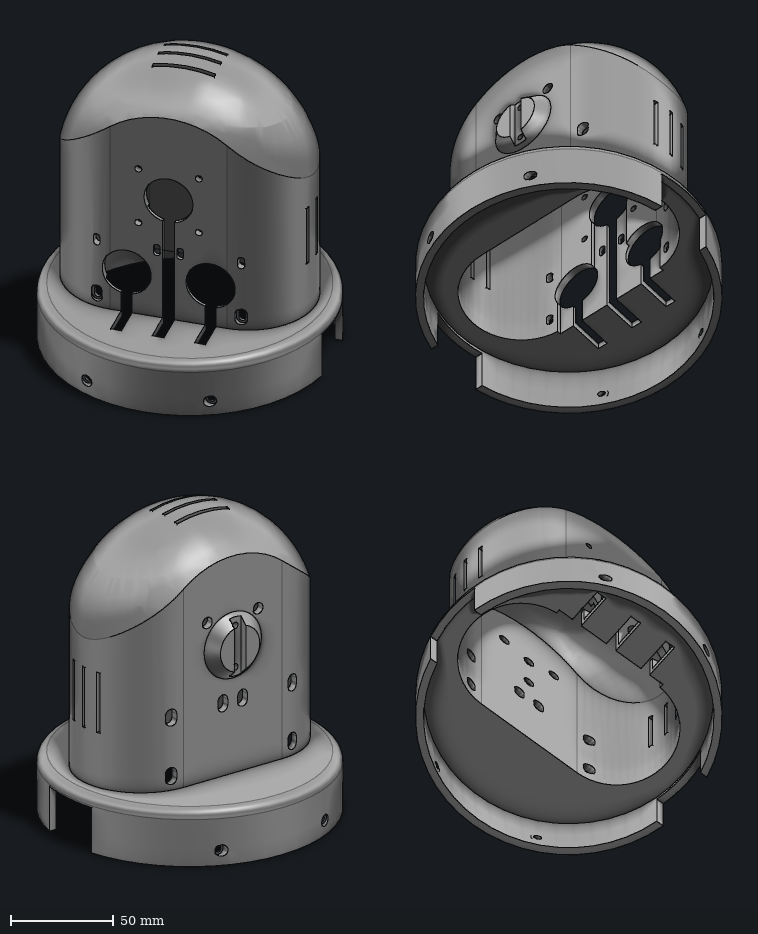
import cadquery as cq
import math

BASE_RADIUS = 75.0
BASE_HEIGHT = 30.0
RIM_FILLET = 5.0
WALL = 4.0
SIDE_GAP_WIDTH = 34.0
SIDE_GAP_HEIGHT = 24.0

TOWER_RADIUS = 35.0
FLAT_HALF_LENGTH = 30.0
FRONT_Y = -TOWER_RADIUS
BACK_Y = TOWER_RADIUS

DOME_TOP = 161.42
DOME_RADIUS = 66.0
DOME_ARC_RADIUS = 46.0
DOME_AXIS_Z = DOME_TOP - DOME_RADIUS

SCREW_D = 3.4
HEAD_D = 5.9
HEAD_DEPTH = 2.0
SKIRT_HEAD_DEPTH = 2.8
SLOT_TRAVEL = 3.0
MOTOR_PITCH = 31.0
MOTOR_BORE_D = 25.0
UPPER_MOTOR_Z = 98.0
LOWER_MOTOR_X = 21.5
LOWER_MOTOR_Z = 53.0
UPPER_SLIT_WIDTH = 6.0
LOWER_SLIT_WIDTH = 5.5
CHANNEL_WIDTH = 22.0
CHANNEL_DEPTH = 2.0
PLATE_SLIT_END_Y = -52.2

BOSS_HEIGHT = 6.0
BOSS_BASE_RADIUS = 17.5
BOSS_TOP_RADIUS = 12.0
BOSS_GROOVE_WIDTH = 7.0
BOSS_GROOVE_DEPTH = 4.0
BOSS_SCREW_PITCH = 22.0

SKIRT_SCREW_X = 31.6
SKIRT_SCREW_Z = 8.0

VENT_LENGTH = 32.0
VENT_WIDTH = 2.0
VENT_PITCH = 10.0
SIDE_VENT_Z = 75.0

CUT_MARGIN = 1.0


def box(x_min, x_max, y_min, y_max, z_min, z_max):
    """Box between two opposite corners."""
    size = (x_max - x_min, y_max - y_min, z_max - z_min)
    return cq.Workplane("XY").box(*size, centered=False).translate((x_min, y_min, z_min))


def hole_along_y(x, z, diameter, y_min, y_max):
    """Round cutter running parallel to Y."""
    circle = cq.Workplane("XZ", origin=(x, y_max, z)).circle(diameter / 2)
    return circle.extrude(y_max - y_min)


def slot_along_y(x, z, width, y_min, y_max):
    """Upright rounded slot running parallel to Y, for an adjustable screw."""
    slot = cq.Workplane("XZ", origin=(x, y_max, z)).slot2D(width + SLOT_TRAVEL, width, 90)
    return slot.extrude(y_max - y_min)


def dome_body(inset):
    """Solid of revolution that rounds off the tower, shrunk by inset."""
    arc_radius = DOME_ARC_RADIUS - inset
    arc_centre = DOME_RADIUS - DOME_ARC_RADIUS
    half_width = TOWER_RADIUS
    edge = arc_centre + math.sqrt(arc_radius**2 - half_width**2)
    profile = (
        cq.Workplane("XY")
        .moveTo(0, -half_width)
        .lineTo(edge, -half_width)
        .threePointArc((arc_centre + arc_radius, 0), (edge, half_width))
        .lineTo(0, half_width)
        .close()
    )
    return profile.revolve(360, (0, 0, 0), (0, 1, 0)).translate((0, 0, DOME_AXIS_Z))


def tower_body(inset, bottom_z):
    """Stadium column with a domed top, shrunk by inset."""
    width = 2 * (TOWER_RADIUS - inset)
    length = 2 * FLAT_HALF_LENGTH + width
    lower = cq.Workplane("XY", origin=(0, 0, bottom_z)).slot2D(length, width)
    lower = lower.extrude(DOME_AXIS_Z - bottom_z)
    upper = cq.Workplane("XY", origin=(0, 0, DOME_AXIS_Z)).slot2D(length, width)
    upper = upper.extrude(DOME_RADIUS).intersect(dome_body(inset))
    return lower.union(upper)


def base_body():
    """Round base with a filleted top rim."""
    base = cq.Workplane("XY").circle(BASE_RADIUS).extrude(BASE_HEIGHT)
    return base.faces(">Z").edges().fillet(RIM_FILLET)


def base_cavity():
    """Space inside the skirt and the two gaps in its sides."""
    cavity = cq.Workplane("XY").circle(BASE_RADIUS - WALL).extrude(BASE_HEIGHT - WALL)
    reach = BASE_RADIUS + CUT_MARGIN
    half_gap = SIDE_GAP_WIDTH / 2
    return cavity.union(box(-reach, reach, -half_gap, half_gap, 0, SIDE_GAP_HEIGHT))


def back_boss():
    """Truncated cone on the back wall with a vertical groove across its end."""
    boss = (
        cq.Workplane("XZ", origin=(0, BACK_Y, UPPER_MOTOR_Z))
        .circle(BOSS_BASE_RADIUS)
        .workplane(offset=-BOSS_HEIGHT)
        .circle(BOSS_TOP_RADIUS)
        .loft()
    )
    half_groove = BOSS_GROOVE_WIDTH / 2
    end_y = BACK_Y + BOSS_HEIGHT
    groove = box(
        -half_groove,
        half_groove,
        end_y - BOSS_GROOVE_DEPTH,
        end_y + CUT_MARGIN,
        UPPER_MOTOR_Z - BOSS_BASE_RADIUS,
        UPPER_MOTOR_Z + BOSS_BASE_RADIUS,
    )
    return boss.cut(groove)


def motor_opening(x, z, slit_width):
    """Round opening in the front wall with a slit down to and along the base plate.

    A wider channel thins the wall from inside, below the middle of the opening.
    """
    y_min = FRONT_Y - CUT_MARGIN
    y_max = FRONT_Y + WALL
    half_channel = CHANNEL_WIDTH / 2
    bore = hole_along_y(x, z, MOTOR_BORE_D, y_min, 0)
    left = x - slit_width / 2
    right = x + slit_width / 2
    plate_bottom = BASE_HEIGHT - WALL
    wall_slit = box(left, right, y_min, y_max, plate_bottom, z)
    plate_slit = box(left, right, PLATE_SLIT_END_Y, y_max, plate_bottom, BASE_HEIGHT)
    channel_left = x - half_channel
    channel_right = x + half_channel
    channel_floor = y_max - CHANNEL_DEPTH
    channel = box(channel_left, channel_right, channel_floor, y_max + CUT_MARGIN, plate_bottom, z)
    return bore.union(wall_slit).union(plate_slit).union(channel)


def upper_motor_holes():
    """Four screw holes in the front wall; the top pair has driver holes in the back."""
    half = MOTOR_PITCH / 2
    cutters = []
    for x in (-half, half):
        for z in (UPPER_MOTOR_Z - half, UPPER_MOTOR_Z + half):
            cutters.append(hole_along_y(x, z, SCREW_D, FRONT_Y - CUT_MARGIN, 0))
        cutters.append(hole_along_y(x, UPPER_MOTOR_Z + half, HEAD_D, 0, BACK_Y + CUT_MARGIN))
    return cutters


def lower_motor_slots():
    """Adjustable screw slots in the front wall with wider driver slots in the back."""
    half = MOTOR_PITCH / 2
    inner_x = LOWER_MOTOR_X - half
    outer_x = LOWER_MOTOR_X + half
    upper_z = LOWER_MOTOR_Z + half
    lower_z = LOWER_MOTOR_Z - half
    outside_y = FRONT_Y - CUT_MARGIN
    cutters = []
    for side in (-1, 1):
        for x, z in ((inner_x, upper_z), (outer_x, upper_z), (outer_x, lower_z)):
            cutters.append(slot_along_y(side * x, z, SCREW_D, outside_y, 0))
            cutters.append(slot_along_y(side * x, z, HEAD_D, 0, BACK_Y + CUT_MARGIN))
        wall_y = -math.sqrt(TOWER_RADIUS**2 - (outer_x - FLAT_HALF_LENGTH) ** 2)
        cutters.append(slot_along_y(side * outer_x, lower_z, HEAD_D, outside_y, wall_y + HEAD_DEPTH))
    return cutters


def boss_screw_holes():
    """Two screw holes through the boss, recessed from inside the tower."""
    inner_y = BACK_Y - WALL
    cutters = []
    for offset in (-BOSS_SCREW_PITCH / 2, BOSS_SCREW_PITCH / 2):
        z = UPPER_MOTOR_Z + offset
        cutters.append(hole_along_y(0, z, SCREW_D, 0, BACK_Y + BOSS_HEIGHT))
        cutters.append(hole_along_y(0, z, HEAD_D, 0, inner_y + HEAD_DEPTH))
    return cutters


def skirt_screw_holes():
    """Four recessed screw holes through the front and back of the skirt."""
    reach = BASE_RADIUS + CUT_MARGIN
    seat_y = math.sqrt(BASE_RADIUS**2 - SKIRT_SCREW_X**2) - SKIRT_HEAD_DEPTH
    cutters = []
    for x in (-SKIRT_SCREW_X, SKIRT_SCREW_X):
        cutters.append(hole_along_y(x, SKIRT_SCREW_Z, SCREW_D, -reach, reach))
        cutters.append(hole_along_y(x, SKIRT_SCREW_Z, HEAD_D, seat_y, reach))
        cutters.append(hole_along_y(x, SKIRT_SCREW_Z, HEAD_D, -reach, -seat_y))
    return cutters


def vents():
    """Three narrow vents through the dome and three through both round ends."""
    half_length = VENT_LENGTH / 2
    half_width = VENT_WIDTH / 2
    reach = FLAT_HALF_LENGTH + TOWER_RADIUS + CUT_MARGIN
    side_bottom = SIDE_VENT_Z - half_length
    side_top = SIDE_VENT_Z + half_length
    cutters = []
    for y in (-VENT_PITCH, 0, VENT_PITCH):
        y_min = y - half_width
        y_max = y + half_width
        cutters.append(box(-half_length, half_length, y_min, y_max, DOME_AXIS_Z, DOME_TOP + CUT_MARGIN))
        cutters.append(box(-reach, reach, y_min, y_max, side_bottom, side_top))
    return cutters


outside = base_body().union(tower_body(0, BASE_HEIGHT - WALL)).union(back_boss())
result = outside.cut(base_cavity()).cut(tower_body(WALL, 0))

result = result.cut(motor_opening(0, UPPER_MOTOR_Z, UPPER_SLIT_WIDTH))
for motor_x in (-LOWER_MOTOR_X, LOWER_MOTOR_X):
    result = result.cut(motor_opening(motor_x, LOWER_MOTOR_Z, LOWER_SLIT_WIDTH))

small_cutters = (
    upper_motor_holes() + lower_motor_slots() + boss_screw_holes() + skirt_screw_holes() + vents()
)
for cutter in small_cutters:
    result = result.cut(cutter)